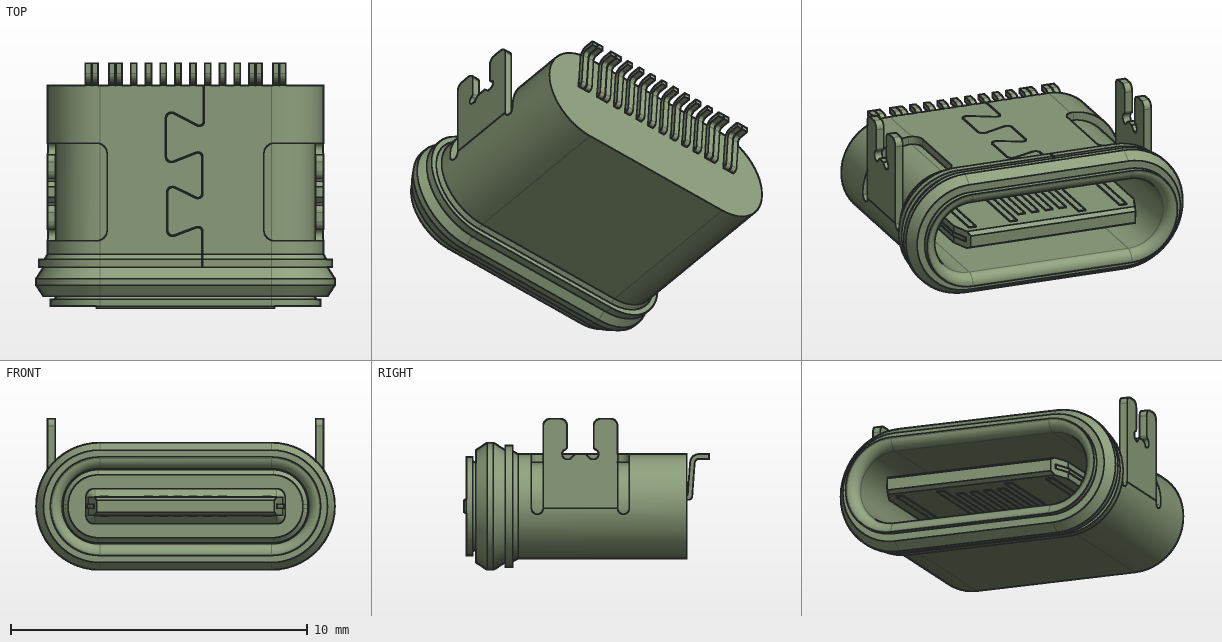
import cadquery as cq
import math


overall_width = 10.1
end_centre_x = 2.9
ring_radius = overall_width / 2 - end_centre_x
ring_edge_radius = 1.9
flange_radius = 2.06
shell_radius = 1.77
flange_cone_radius = 1.86
lip_radius = 1.67
neck_front_radius = 1.53
neck_radius = 1.46
cavity_radius = 1.27

lip_back = 0.22
ring_front = 0.32
ring_flat_front = 0.71
ring_flat_back = 0.92
flange_front = 1.31
flange_back = 1.58
flange_cone_back = 1.75
shell_back = 7.45
mouth_fillet = 0.35
cavity_floor = 5.86

plug_half_height = 1.23
plug_flat_half = 0.06
plug_chamfer = 0.17

tongue_front = -0.08
tongue_half_width = 3.28
tongue_half_height = 0.3
tongue_tip_half_width = 3.0
tongue_tip_half_height = 0.2
tongue_side_bevel = 0.86
tongue_top_bevel = 0.2
base_front = 4.44
base_half_width = 3.36
base_half_height = 0.6
base_corner = 0.29
base_chamfer = 0.28
latch_front = 0.15
latch_rise = 0.03
latch_height = 0.14

outer_contact_x = 2.75
outer_contact_step = 5.5
contact_pitch = outer_contact_x / outer_contact_step
contact_width = 0.25
contact_rise = 0.03
long_contact_front = 0.39
short_contact_front = 0.9
short_contact_steps = (0.5, 1.5)
long_contact_steps = (2.5, outer_contact_step)

pin_width = 0.21
pin_thickness = 0.17
pin_end = 8.2
pin_embedding = 0.2
pin_root = shell_back - pin_embedding
pin_low = 0.21
pin_knee_y = 7.58
pin_foot_y = 7.47
pin_leg_width = 0.15
pin_knee_radius = 0.31
pin_inner_radius = 0.14
pin_foot_radius = 0.14
pin_single_steps = (0.5, 1.5, 2.5, 3.5)
pin_pair_centres = (2.36, 3.17)
pin_pair_spacing = 0.23

shell_thickness = 0.27
tab_clearance = 0.01
window_front = 2.2
window_back = 5.5
window_inner_x = 2.65
window_corner = 0.36
window_margin = 0.1
tab_width = 2.51
tab_bottom = -0.07
tab_top = 2.96
tab_corner = 0.24
tab_notch_width = 0.89
tab_notch_floor = 1.76
tab_relief_radius = 0.17
tab_neck_fillet = 0.1
tab_bump_half = 0.18

tab_centre = (window_front + window_back) / 2
outer_x = end_centre_x + shell_radius

seam_gap = 0.03
seam_corner = 0.17
seam_reach = 1.01
seam_back_x = 0.64
seam_front_x = 0.59
seam_tails = [(seam_back_x, 5.96), (-0.65, 6.63), (-0.65, 4.8), (seam_front_x, 5.28),
              (seam_front_x, 3.52), (-0.61, 4.11), (-0.61, 2.31), (seam_front_x, 2.76)]


def stadium_section(radius, y):
    """Stadium outline in the plane at the given Y."""
    section = cq.Workplane("XZ", origin=(0, y, 0))
    return section.slot2D(2 * (end_centre_x + radius), 2 * radius)


def stadium(radius, y_start, y_end):
    """Stadium prism around the Y axis."""
    return stadium_section(radius, y_start).extrude(y_start - y_end)


def stadium_cone(start_radius, y_start, end_radius, y_end):
    """Stadium whose radius changes evenly along Y."""
    start = stadium_section(start_radius, y_start).wires().val()
    end = stadium_section(end_radius, y_end).wires().val()
    return cq.Workplane(cq.Solid.makeLoft([start, end], True))


def block(x_range, y_range, z_range):
    """Box given by its limits along each axis."""
    size = [limits[1] - limits[0] for limits in (x_range, y_range, z_range)]
    return cq.Workplane("XY").box(*size, centered=False).translate((x_range[0], y_range[0], z_range[0]))


def both_sides(shape):
    """The shape together with its mirror image across the YZ plane."""
    return shape.union(shape.mirror("YZ"))


def make_seal_ring():
    """Ring that fills the groove between the front lip and the flange."""
    ring = stadium_cone(ring_edge_radius, ring_front, ring_radius, ring_flat_front)
    ring = ring.union(stadium(ring_radius, ring_flat_front, ring_flat_back))
    ring = ring.union(stadium_cone(ring_radius, ring_flat_back, ring_edge_radius, flange_front))
    return ring.cut(stadium(neck_radius, ring_front, flange_front))


def make_shell():
    """Outer shell with lip, sealing groove and flange, opened by the mating cavity."""
    shell = stadium(lip_radius, 0, lip_back)
    shell = shell.union(stadium_cone(neck_front_radius, lip_back, neck_radius, ring_front))
    shell = shell.union(stadium(neck_radius, ring_front, flange_front))
    shell = shell.union(stadium(flange_radius, flange_front, flange_back))
    shell = shell.union(stadium_cone(flange_cone_radius, flange_back, shell_radius, flange_cone_back))
    shell = shell.union(stadium(shell_radius, flange_cone_back, shell_back))
    shell = shell.cut(stadium(cavity_radius, 0, cavity_floor))
    mouth = cq.selectors.LengthNthSelector(0)
    return shell.faces("<Y").wires(mouth).edges().fillet(mouth_fillet)


def make_plug():
    """Chamfered block that stands in front of the cavity floor around the tongue."""
    corner = plug_half_height - plug_flat_half
    front = cavity_floor - plug_chamfer
    plug = block((-end_centre_x - plug_half_height, end_centre_x + plug_half_height),
                 (front, cavity_floor + plug_chamfer), (-plug_half_height, plug_half_height))
    return plug.edges("|Y").fillet(corner).faces("<Y").chamfer(plug_chamfer)


def make_tongue():
    """Tongue with bevelled tip, latch strips on its sides and a thicker base."""
    plan = [(tongue_tip_half_width, tongue_front), (tongue_half_width, tongue_front + tongue_side_bevel),
            (tongue_half_width, cavity_floor)]
    plan += [(-x, y) for x, y in reversed(plan)]
    tongue = cq.Workplane("XY").polyline(plan).close().extrude(tongue_half_height, both=True)
    side = [(tongue_front, tongue_tip_half_height), (tongue_front + tongue_top_bevel, tongue_half_height),
            (cavity_floor, tongue_half_height)]
    side += [(y, -z) for y, z in reversed(side)]
    tongue = tongue.intersect(
        cq.Workplane("YZ").polyline(side).close().extrude(tongue_half_width, both=True))
    base = block((-base_half_width, base_half_width), (base_front, cavity_floor),
                 (-base_half_height, base_half_height))
    base = base.edges("|Y").fillet(base_corner).faces("<Y").chamfer(base_chamfer)
    return tongue.union(make_latch_strips(plan)).union(base)


def make_latch_strips(tongue_plan):
    """Narrow strips that stand slightly proud of both side faces and follow their bevel."""
    plan = [(x + math.copysign(latch_rise, x), y) for x, y in tongue_plan]
    strips = cq.Workplane("XY").polyline(plan).close().extrude(latch_height / 2, both=True)
    reach = tongue_half_width + latch_rise
    limits = block((-reach, reach), (latch_front, cavity_floor), (-latch_height, latch_height))
    return strips.intersect(limits)


def make_contact(x, front):
    """Contact strip slightly proud of both faces of the tongue."""
    reach = tongue_half_height + contact_rise
    return block((x - contact_width / 2, x + contact_width / 2), (front, base_front + base_chamfer),
                 (-reach, reach))


def make_contacts():
    """Contact strips for one half of the tongue."""
    strips = [(step, short_contact_front) for step in short_contact_steps]
    strips += [(step, long_contact_front) for step in long_contact_steps]
    return [make_contact(step * contact_pitch, front) for step, front in strips]


def make_pin(x):
    """Solder pin that leaves the rear face, rises and bends back level with the shell top."""
    pin_high = shell_radius - pin_thickness
    foot_corner = (pin_foot_y + pin_leg_width, pin_low)
    inner_corner = (pin_knee_y + pin_leg_width, pin_high)
    knee = (pin_knee_y, shell_radius)
    outline = [(pin_end, shell_radius), knee, (pin_foot_y, pin_low + pin_thickness),
               (pin_root, pin_low + pin_thickness), (pin_root, pin_low), foot_corner,
               inner_corner, (pin_end, pin_high)]
    pin = cq.Workplane("YZ").polyline(outline).close().extrude(pin_width / 2, both=True)
    bends = [(knee, pin_knee_radius), (inner_corner, pin_inner_radius), (foot_corner, pin_foot_radius)]
    for (y, z), radius in bends:
        pin = pin.edges(cq.selectors.NearestToPointSelector((0, y, z))).fillet(radius)
    return pin.translate((x, 0, 0))


def make_pins():
    """Solder pins for one half of the connector: evenly spaced singles, then close pairs."""
    places = [step * contact_pitch for step in pin_single_steps]
    for centre in pin_pair_centres:
        places += [centre - pin_pair_spacing / 2, centre + pin_pair_spacing / 2]
    return [make_pin(x) for x in places]


def make_window():
    """Opening through the shell wall around one tab, with a round-ended slot beside each tab edge."""
    far_x = outer_x + window_margin
    opening = block((window_inner_x, far_x), (window_front, window_back),
                    (tab_bottom, shell_radius + window_margin))
    opening = opening.edges("|Z and <X").fillet(window_corner)
    slot_width = (window_back - window_front - tab_width) / 2
    for y in (window_front + slot_width / 2, window_back - slot_width / 2):
        slot_end = cq.Workplane("YZ", origin=(end_centre_x, y, tab_bottom)).circle(slot_width / 2)
        opening = opening.union(slot_end.extrude(far_x - end_centre_x))
    core_radius = shell_radius - shell_thickness - tab_clearance
    return opening.cut(stadium(core_radius, window_front, window_back))


def make_tab():
    """Upright mounting tab with two legs, a notch between them and a relief at each notch corner."""
    inner_x = outer_x - shell_thickness
    half = tab_width / 2
    notch_half = tab_notch_width / 2
    tab = block((inner_x, outer_x), (-half, half), (tab_bottom, tab_top))
    tab = tab.cut(block((inner_x, outer_x), (-notch_half, notch_half), (tab_notch_floor, tab_top)))
    tab = tab.edges("|X and >Z").fillet(tab_corner)
    for side in (-1, 1):
        relief_y = side * notch_half
        relief = cq.Workplane("YZ", origin=(inner_x, 0, 0)).center(relief_y, tab_notch_floor)
        tab = tab.cut(relief.circle(tab_relief_radius).extrude(shell_thickness))
        neck = (outer_x - shell_thickness / 2, relief_y, tab_notch_floor + tab_relief_radius)
        tab = tab.edges(cq.selectors.NearestToPointSelector(neck)).fillet(tab_neck_fillet)
        slope = [(side * tab_bump_half, tab_notch_floor), (relief_y, tab_notch_floor),
                 (relief_y, tab_notch_floor - tab_relief_radius),
                 (relief_y - side * tab_relief_radius / 2, tab_notch_floor - tab_relief_radius)]
        tab = tab.cut(cq.Workplane("YZ", origin=(inner_x, 0, 0)).polyline(slope).close()
                      .extrude(shell_thickness))
    return tab.translate((0, tab_centre, 0))


def make_seam():
    """Narrow dovetail gap where the ends of the wrapped shell interlock on top."""
    far_x = 2 * seam_reach
    outline = [(far_x, shell_back + seam_reach), (seam_back_x, shell_back + seam_reach)]
    outline += seam_tails + [(seam_front_x, 0), (far_x, 0)]
    depth = flange_radius - shell_radius + shell_thickness
    floor = cq.Workplane("XY", origin=(0, 0, shell_radius - shell_thickness))
    half = floor.polyline(outline).close().extrude(depth).edges("|Z").fillet(seam_corner)
    grown = half.faces("<Z").wires().toPending().offset2D(seam_gap).extrude(depth)
    limits = block((-seam_reach, seam_reach), (flange_front, shell_back), (0, flange_radius))
    return grown.cut(half).intersect(limits)


def make_connector():
    """Shell, tongue, contacts, pins and tabs as one body."""
    connector = make_shell().union(make_plug()).union(make_tongue())
    connector = connector.cut(both_sides(make_window())).union(both_sides(make_tab()))
    connector = connector.cut(make_seam())
    for piece in make_contacts() + make_pins():
        connector = connector.union(both_sides(piece))
    return connector


seal_ring = make_seal_ring()
connector = make_connector()

result = cq.Compound.makeCompound([seal_ring.val(), connector.solids().val()])